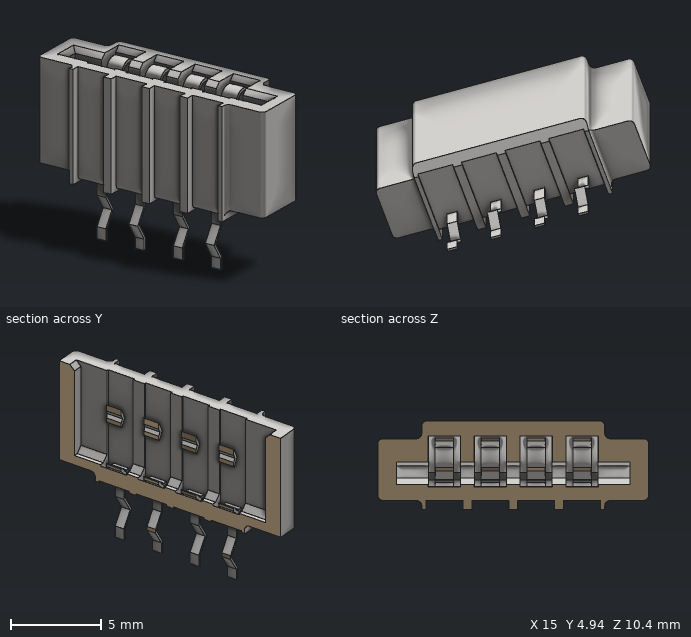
import cadquery as cq
import math


contact_count = 4
pitch = 2.54
contact_xs = [(i - (contact_count - 1) / 2) * pitch for i in range(contact_count)]

housing_length = 15.04
housing_height = 6.92
end_depth = 3.45
end_bottom = 0.57
centre_length = contact_count * pitch
centre_back = 4.44
rib_depth = 0.5
rib_width = 0.51
corner_radius = 0.3
back_chamfer_depth = 0.57
back_chamfer_height = 0.54
bay_floor = 0.1

lead_in = 0.32
slot_half_length = 6.47
slot_front = 0.9
slot_back = 2.18
slot_floor = 1.2
slot_front_chamfer = 0.36
slot_back_draft = 0.25

cavity_width = 1.77
cavity_front = 0.78
cavity_back = 3.58
cavity_floor = 0.75
cavity_step_start = 1.15
cavity_step = 0.42
cavity_shelf = cavity_floor + cavity_step

contact_width = 1.02
contact_thickness = 0.2
contact_half = contact_thickness / 2
arch_radius = 0.74
arch_y = 2.8
arch_z = 6.02
front_leg_slope = 62.0
rear_leg_lean = 5.0
touch_y = 1.17
tip_depth = 0.25
foot_end = 0.98
foot_z = 1.0
dip_y = 1.1
dip_z = 0.9
ramp_top_y = 1.47
shelf_clearance = 0.02

tail_width = 0.6
tail_thickness = 0.15
tail_y = 0.89
tail_bottom = -3.5
tail_top = cavity_floor
kink_z = -1.83
kink_half_height = 0.96
kink_offset = 0.62


def extrude_along_x(profile, width, centre_x):
    """Extrude a closed YZ outline by width, centred on centre_x."""
    return profile.extrude(width / 2, both=True).translate((centre_x, 0, 0))


def offset_path(points, distance):
    """Shift an open polyline sideways by distance, with mitred corners."""
    normals = []
    for (y0, z0), (y1, z1) in zip(points, points[1:]):
        length = math.hypot(y1 - y0, z1 - z0)
        normals.append(((z0 - z1) / length, (y1 - y0) / length))
    before = normals[:1] + normals
    after = normals + normals[-1:]
    shifted = []
    for (y, z), a, b in zip(points, before, after):
        mitre = distance / (1 + a[0] * b[0] + a[1] * b[1])
        shifted.append((y + mitre * (a[0] + b[0]), z + mitre * (a[1] + b[1])))
    return shifted


def strip(points, thickness, width, centre_x):
    """Bent flat strip whose mid-plane follows a YZ polyline."""
    left_side = offset_path(points, thickness / 2)
    right_side = offset_path(points, -thickness / 2)
    outline = cq.Workplane("YZ").polyline(left_side + right_side[::-1]).close()
    return extrude_along_x(outline, width, centre_x)


def box_between(x0, x1, y0, y1, z0, z1):
    """Box given by its limits along each axis."""
    return cq.Workplane("XY").box(x1 - x0, y1 - y0, z1 - z0, centered=False).translate((x0, y0, z0))


def housing_shell():
    """Two rounded end blocks and the deeper centre block, before its openings are cut."""
    half_length = housing_length / 2
    half_centre = centre_length / 2
    ends = box_between(-half_length, half_length, 0, end_depth, end_bottom, housing_height)
    ends = ends.edges("|Z").fillet(corner_radius)
    centre = box_between(-half_centre, half_centre, -rib_depth, centre_back, 0, housing_height)
    centre = centre.edges("|Z and >Y").fillet(corner_radius)
    shell = ends.union(centre)

    margin = 0.02
    for side in (-1, 1):
        corner_box = cq.selectors.BoxSelector(
            (side * half_centre - margin, -margin, end_bottom - margin),
            (side * half_centre + margin, end_depth + margin, housing_height - margin),
        )
        shell = shell.edges(corner_box).fillet(corner_radius)

    wedge = cq.Workplane("YZ").polyline([
        (centre_back, back_chamfer_height),
        (centre_back - back_chamfer_depth, 0),
        (centre_back, 0),
    ]).close()
    return shell.cut(extrude_along_x(wedge, centre_length, 0))


def rib_bay(centre_x):
    """Space between two ribs, which also lifts the housing underside and rounds its front edge."""
    arc_mid = corner_radius * (1 - math.sqrt(0.5))
    profile = (
        cq.Workplane("YZ")
        .moveTo(-rib_depth, housing_height)
        .lineTo(0, housing_height)
        .lineTo(0, bay_floor + corner_radius)
        .threePointArc((arc_mid, bay_floor + arc_mid), (corner_radius, bay_floor))
        .lineTo(centre_back, bay_floor)
        .lineTo(centre_back, 0)
        .lineTo(-rib_depth, 0)
        .close()
    )
    return extrude_along_x(profile, pitch - rib_width, centre_x)


def card_slot():
    """Slot for the card edge, with a sloped mouth at the back and both ends."""
    profile = cq.Workplane("YZ").polyline([
        (slot_front, housing_height),
        (slot_front, slot_floor + slot_front_chamfer),
        (slot_front + slot_front_chamfer, slot_floor),
        (slot_back - slot_back_draft, slot_floor),
        (slot_back, housing_height - lead_in),
        (slot_back + lead_in, housing_height),
    ]).close()
    slot = extrude_along_x(profile, 2 * (slot_half_length + lead_in), 0)
    end_profile = cq.Workplane("XZ").polyline([
        (-slot_half_length - lead_in, housing_height),
        (-slot_half_length, housing_height - lead_in),
        (-slot_half_length, slot_floor),
        (slot_half_length, slot_floor),
        (slot_half_length, housing_height - lead_in),
        (slot_half_length + lead_in, housing_height),
    ]).close()
    return slot.intersect(end_profile.extrude(-centre_back))


def cavity(centre_x):
    """Pocket for one contact, with a stepped floor and a sloped mouth at the back."""
    profile = cq.Workplane("YZ").polyline([
        (cavity_front, housing_height),
        (cavity_front, cavity_floor),
        (cavity_step_start, cavity_floor),
        (cavity_step_start + cavity_step, cavity_shelf),
        (cavity_back, cavity_shelf),
        (cavity_back, housing_height - lead_in),
        (cavity_back + lead_in, housing_height),
    ]).close()
    return extrude_along_x(profile, cavity_width, centre_x)


def tail_hole(centre_x):
    """Hole through the cavity floor that holds one solder tail."""
    return box_between(
        centre_x - tail_width / 2, centre_x + tail_width / 2,
        tail_y - tail_thickness / 2, tail_y + tail_thickness / 2,
        0, cavity_floor,
    )


def build_housing():
    body = housing_shell().cut(card_slot())
    for x in contact_xs:
        body = body.cut(rib_bay(x)).cut(cavity(x)).cut(tail_hole(x))
    return body


def build_contact(centre_x):
    """Spring strip: foot, ramp, rear leg, arch and sprung front leg."""
    mid_radius = arch_radius - contact_half
    slope = math.radians(front_leg_slope)
    lean = math.radians(rear_leg_lean)

    def arch_point(radius, angle):
        return (arch_y + radius * math.cos(angle), arch_z + radius * math.sin(angle))

    front_angle = math.pi / 2 + slope
    rear_angle = -lean
    middle_angle = (front_angle + rear_angle) / 2
    inner_radius = arch_radius - contact_thickness
    arch_outline = (
        cq.Workplane("YZ")
        .moveTo(*arch_point(arch_radius, rear_angle))
        .threePointArc(arch_point(arch_radius, middle_angle), arch_point(arch_radius, front_angle))
        .lineTo(*arch_point(inner_radius, front_angle))
        .threePointArc(arch_point(inner_radius, middle_angle), arch_point(inner_radius, rear_angle))
        .close()
    )
    arch = extrude_along_x(arch_outline, contact_width, centre_x)

    leg_top_y, leg_top_z = arch_point(mid_radius, front_angle)
    bend_y = touch_y + contact_half / math.sin(slope)
    bend_z = leg_top_z - (leg_top_y - bend_y) * math.tan(slope)
    front_leg = strip(
        [
            (leg_top_y, leg_top_z),
            (bend_y, bend_z),
            (bend_y + tip_depth, bend_z - tip_depth * math.tan(slope)),
        ],
        contact_thickness, contact_width, centre_x,
    )

    rear_top_y, rear_top_z = arch_point(mid_radius, rear_angle)
    shelf_z = cavity_shelf + contact_half + shelf_clearance
    rear_bottom_y = rear_top_y - (rear_top_z - shelf_z) * math.tan(lean)
    rear_leg = strip(
        [
            (rear_top_y, rear_top_z),
            (rear_bottom_y, shelf_z),
            (ramp_top_y, shelf_z),
            (dip_y, dip_z),
            (foot_end, foot_z),
            (cavity_front, foot_z),
        ],
        contact_thickness, contact_width, centre_x,
    )
    return arch.union(front_leg).union(rear_leg)


def build_tail(centre_x, kink_side):
    """Solder tail with a V-shaped kink towards +Y (kink_side 1) or -Y (kink_side -1)."""
    path = [
        (tail_y, tail_top),
        (tail_y, kink_z + kink_half_height),
        (tail_y + kink_side * kink_offset, kink_z),
        (tail_y, kink_z - kink_half_height),
        (tail_y, tail_bottom),
    ]
    return strip(path, tail_thickness, tail_width, centre_x)


housing = build_housing()
contacts = [build_contact(x) for x in contact_xs]
tails = [build_tail(x, 1 if i % 2 == 0 else -1) for i, x in enumerate(contact_xs)]

result = cq.Compound.makeCompound([
    housing.val(),
    *[contact.val() for contact in contacts],
    *[tail.val() for tail in tails],
])